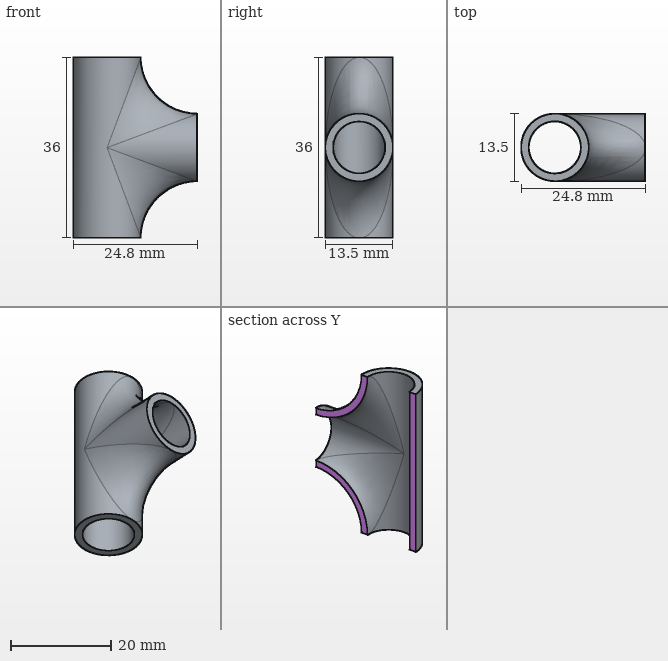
import cadquery as cq
import math

run_length = 36.0
outer_diameter = 13.5
bore_diameter = 10.35
reach = run_length / 2
blend_section_count = 17


def half_ellipse(distance, angle, radius):
    """Half ellipse from -Y to +Y, in the plane through Y tilted by angle from +X."""
    long_axis = cq.Vector(math.cos(angle), 0, math.sin(angle))
    normal = long_axis.cross(cq.Vector(0, 1, 0))
    return cq.Edge.makeEllipse(distance, radius, cq.Vector(), normal, long_axis, -90, 90)


def half_disc(edge):
    """Close a half ellipse with its diameter along Y."""
    diameter = cq.Edge.makeLine(edge.endPoint(), edge.startPoint())
    return cq.Face.makeFromWires(cq.Wire.assembleEdges([edge, diameter]))


def crotch_blend(radius):
    """Wedge between run and branch, bounded by a surface that runs tangent into both.

    In the middle plane its outline is an arc joining the two pipe ends;
    towards the sides it shrinks to a point on the Y axis.
    """
    arc_radius = reach - radius
    sections = []
    for i in range(blend_section_count):
        arc_angle = math.pi / 2 * i / (blend_section_count - 1)
        x = reach - arc_radius * math.sin(arc_angle)
        z = reach - arc_radius * math.cos(arc_angle)
        sections.append(half_ellipse(math.hypot(x, z), math.atan2(z, x), radius))
    wires = [cq.Wire.assembleEdges([edge]) for edge in sections]
    surface = cq.occ_impl.shapes.loft(wires)
    faces = surface.Faces() + [half_disc(sections[0]), half_disc(sections[-1])]
    return cq.Workplane(cq.Solid.makeSolid(cq.Shell.makeShell(faces)).fix())


def tee_body(radius):
    """Solid tee of the given pipe radius, with both crotches blended."""
    run = cq.Workplane("XY").circle(radius).extrude(reach, both=True)
    branch = cq.Workplane("YZ").circle(radius).extrude(reach)
    upper_blend = crotch_blend(radius)
    lower_blend = upper_blend.mirror("XY")
    return run.union(branch).union(upper_blend).union(lower_blend)


result = tee_body(outer_diameter / 2).cut(tee_body(bore_diameter / 2))